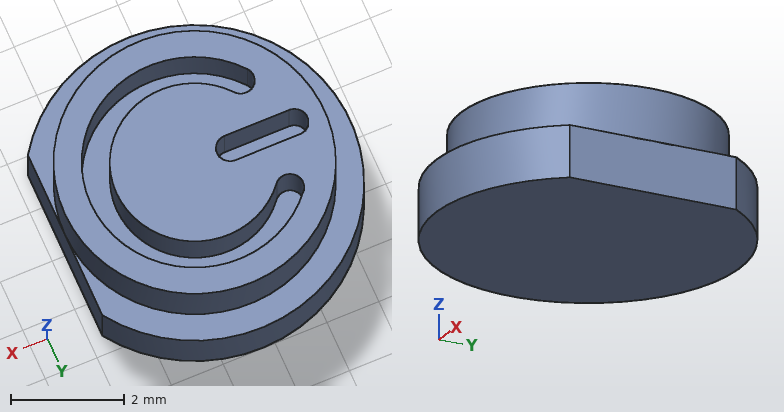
import cadquery as cq
import math

flange_diameter = 6.0
boss_diameter = 5.0
total_height = 2.0
flange_height = total_height / 2
flat_offset = boss_diameter / 2

groove_width = 0.5
ring_radius = 1.75
ring_end_angle = 141.0
groove_depth = 0.8
bar_inner_end = -0.43
bar_outer_end = -2.17


def polar_point(radius, angle):
    radians = math.radians(angle)
    return (radius * math.cos(radians), radius * math.sin(radians))


def make_body():
    flange = cq.Workplane("XY").circle(flange_diameter / 2).extrude(flange_height)
    keep_length = flange_diameter / 2 + flat_offset
    keep_box = (
        cq.Workplane("XY")
        .center(flat_offset - keep_length / 2, 0)
        .rect(keep_length, flange_diameter)
        .extrude(flange_height)
    )
    boss = cq.Workplane("XY").circle(boss_diameter / 2).extrude(total_height)
    return flange.intersect(keep_box).union(boss)


def make_ring_groove():
    """Open ring with rounded ends, its gap facing -X."""
    outer_radius = ring_radius + groove_width / 2
    inner_radius = ring_radius - groove_width / 2
    end_cap_angle = ring_end_angle + math.degrees(groove_width / 2 / ring_radius)
    return (
        cq.Workplane("XY", origin=(0, 0, total_height))
        .moveTo(*polar_point(outer_radius, -ring_end_angle))
        .threePointArc((outer_radius, 0), polar_point(outer_radius, ring_end_angle))
        .threePointArc(
            polar_point(ring_radius, end_cap_angle),
            polar_point(inner_radius, ring_end_angle),
        )
        .threePointArc((inner_radius, 0), polar_point(inner_radius, -ring_end_angle))
        .threePointArc(
            polar_point(ring_radius, -end_cap_angle),
            polar_point(outer_radius, -ring_end_angle),
        )
        .close()
        .extrude(-groove_depth)
    )


def make_bar_groove():
    """Straight round-ended groove through the gap of the ring."""
    return (
        cq.Workplane("XY", origin=(0, 0, total_height))
        .center((bar_inner_end + bar_outer_end) / 2, 0)
        .slot2D(bar_inner_end - bar_outer_end, groove_width)
        .extrude(-groove_depth)
    )


result = make_body().cut(make_ring_groove()).cut(make_bar_groove())